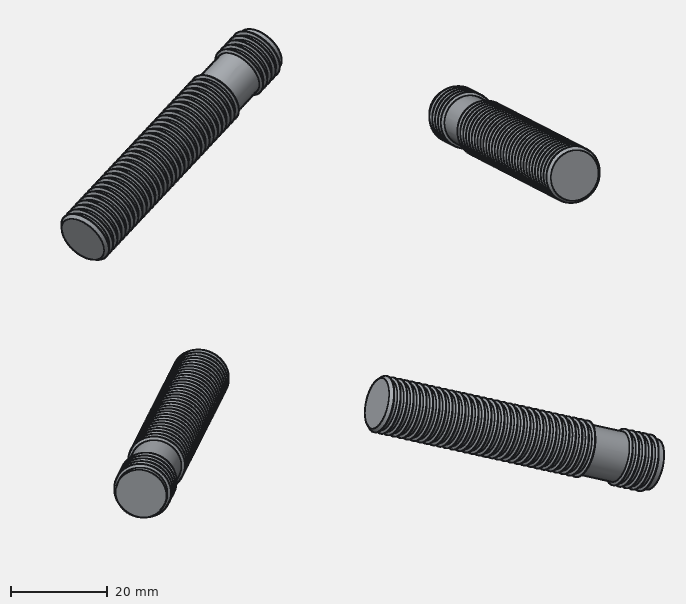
import cadquery as cq

LENGTH = 64.5
THREAD_RADIUS = 6.0
CORE_RADIUS = 5.35
FRONT_Y = -LENGTH / 2
REAR_Y = LENGTH / 2

FRONT_RIDGES = 32
REAR_RIDGES = 5
FRONT_THREAD_SPAN = 47.15
PITCH = FRONT_THREAD_SPAN / (FRONT_RIDGES - 1)
CREST_WIDTH = 0.1
ROOT_WIDTH = 0.85
FRONT_THREAD_START = FRONT_Y + 0.85
REAR_THREAD_START = FRONT_Y + 56.8

WINDOW_RADIUS = 1.4
WINDOW_Y = FRONT_Y + 53.2
WINDOW_COUNT = 4

DISC_RADIUS = 4.85
DISC_DEPTH = 0.65


def ridge_centres():
    front = [FRONT_THREAD_START + i * PITCH for i in range(FRONT_RIDGES)]
    rear = [REAR_THREAD_START + i * PITCH for i in range(REAR_RIDGES)]
    return front + rear


def make_barrel():
    """Revolve the ridged half section; the first ridge slopes down to the front face as a chamfer."""
    outline = [(0, FRONT_Y), (CORE_RADIUS, FRONT_Y)]
    for y in ridge_centres():
        if y > FRONT_THREAD_START:
            outline.append((CORE_RADIUS, y - ROOT_WIDTH / 2))
        outline.append((THREAD_RADIUS, y - CREST_WIDTH / 2))
        outline.append((THREAD_RADIUS, y + CREST_WIDTH / 2))
        outline.append((CORE_RADIUS, y + ROOT_WIDTH / 2))
    outline += [(CORE_RADIUS, REAR_Y), (0, REAR_Y)]
    return cq.Workplane("XY").polyline(outline).close().revolve(360, (0, 0), (0, 1))


def make_window():
    """Round plug pointing up, trimmed to the core surface."""
    plug = cq.Workplane("XY").center(0, WINDOW_Y).circle(WINDOW_RADIUS).extrude(THREAD_RADIUS)
    core = cq.Workplane("XZ", origin=(0, FRONT_Y, 0)).circle(CORE_RADIUS).extrude(-LENGTH)
    return plug.intersect(core)


def make_disc():
    return cq.Workplane("XZ", origin=(0, FRONT_Y, 0)).circle(DISC_RADIUS).extrude(-DISC_DEPTH)


result = make_barrel().union(make_disc(), clean=False)
window = make_window()
for i in range(WINDOW_COUNT):
    turned_window = window.rotate((0, 0, 0), (0, 1, 0), i * 360 / WINDOW_COUNT)
    result = result.union(turned_window, clean=False)